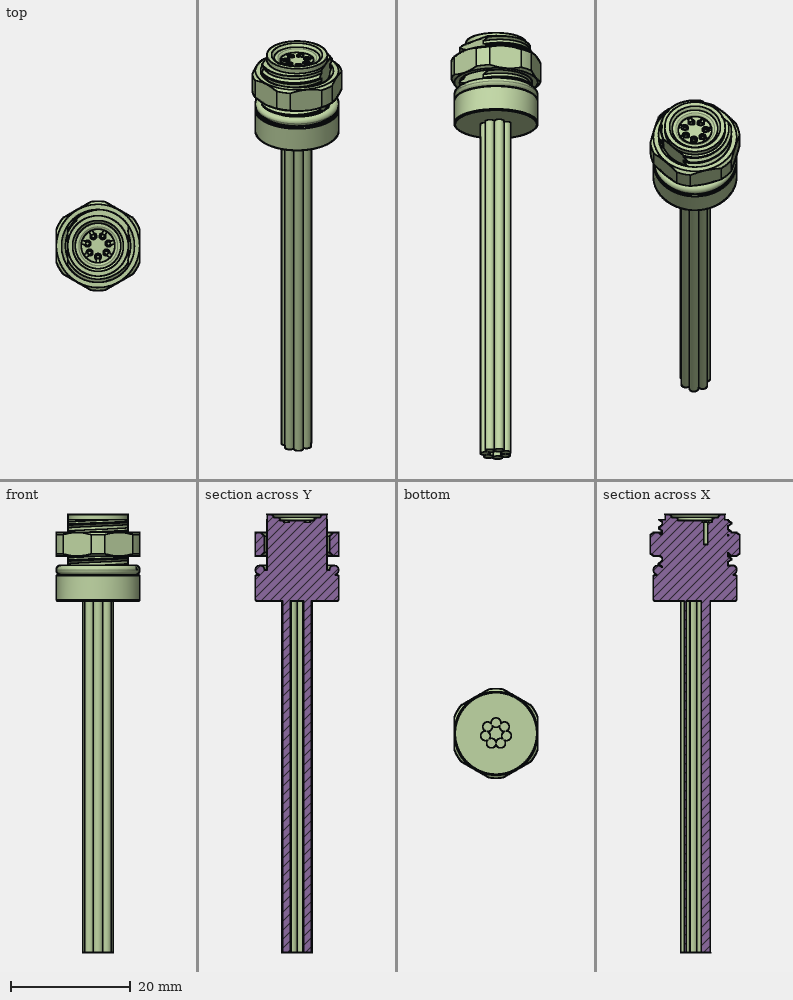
import cadquery as cq

FULL_TURN = 360

WIRE_LENGTH = 58.7
BODY_HEIGHT = 4.4
SEAL_TOP = 6.0
NUT_BOTTOM = 7.5
NUT_HEIGHT = 4.0
THREAD_TOP = 13.6
TOTAL_HEIGHT = 14.5

BODY_RADIUS = 7.0
BODY_CHAMFER = 0.2
SEAL_WIRE_RADIUS = 0.8
NECK_RADIUS = 6.4

COLLAR_RADIUS = 5.05
FLAT_DISTANCE = COLLAR_RADIUS
THREAD_ROOT_RADIUS = 5.55
THREAD_CREST_RADIUS = 6.1
THREAD_PITCH = 1.5
THREAD_BASE_WIDTH = 1.1
THREAD_CREST_WIDTH = 0.2
THREAD_OVERLAP = 0.1
THREAD_START = 4.375

NUT_SIDES = 6
NUT_ACROSS_FLATS = 2 * BODY_RADIUS
NUT_CORNER_RADIUS = 7.5
NUT_FACE_RADIUS = 6.95
NUT_CHAMFER_HEIGHT = 0.4
NUT_BORE_RADIUS = 5.45
NUT_MOUTH_RADIUS = 6.1

SOCKET_RADIUS = 4.25
SOCKET_FLOOR_RADIUS = 3.8
SOCKET_DEPTH = 0.5
RECESS_RADIUS = 2.8
RECESS_DEPTH = 0.5
RECESS_LIP_RADIUS = 0.45

CONTACT_COUNT = 7
CONTACT_CIRCLE_RADIUS = 1.8
CONTACT_CAVITY_RADIUS = 0.55
CONTACT_CAVITY_DEPTH = 0.3
CONTACT_SLOT_WIDTH = 0.6
CONTACT_BORE_RADIUS = 0.3
CONTACT_BORE_DEPTH = 4.0
WIRE_RADIUS = 0.8
WIRE_EMBEDMENT = 1.0


def cylinder(radius, bottom, top):
    return cq.Workplane("XY").workplane(offset=bottom).circle(radius).extrude(top - bottom)


def around_contact_circle(shape):
    """Copies of a shape modelled at the first (-Y) contact, one for each contact."""
    step = FULL_TURN / CONTACT_COUNT
    return [shape.rotate((0, 0, 0), (0, 0, 1), index * step) for index in range(CONTACT_COUNT)]


def make_body():
    """Plain round base carrying a neck and the sealing ring."""
    base = cylinder(BODY_RADIUS, 0, BODY_HEIGHT).edges().chamfer(BODY_CHAMFER)
    seal_height = SEAL_TOP - SEAL_WIRE_RADIUS
    neck = cylinder(NECK_RADIUS, BODY_HEIGHT - BODY_CHAMFER, seal_height)
    seal_centre_radius = BODY_RADIUS - SEAL_WIRE_RADIUS
    seal = (
        cq.Workplane("XZ")
        .center(seal_centre_radius, seal_height)
        .circle(SEAL_WIRE_RADIUS)
        .revolve(FULL_TURN, (-seal_centre_radius, 0), (-seal_centre_radius, 1))
    )
    return base.union(neck).union(seal)


def make_thread_ridge():
    """Helical ridge sunk slightly into the root cylinder and overrunning both thread ends."""
    inner_radius = THREAD_ROOT_RADIUS - THREAD_OVERLAP
    half_base = THREAD_BASE_WIDTH / 2
    half_crest = THREAD_CREST_WIDTH / 2
    length = THREAD_TOP + THREAD_PITCH / 2 - THREAD_START
    helix = cq.Wire.makeHelix(THREAD_PITCH, length, inner_radius).moved(
        cq.Location(cq.Vector(0, 0, THREAD_START))
    )
    profile = (
        cq.Workplane("XZ")
        .moveTo(inner_radius, THREAD_START - half_base)
        .lineTo(THREAD_CREST_RADIUS, THREAD_START - half_crest)
        .lineTo(THREAD_CREST_RADIUS, THREAD_START + half_crest)
        .lineTo(inner_radius, THREAD_START + half_base)
        .close()
    )
    return profile.sweep(cq.Workplane(obj=helix), isFrenet=True)


def make_shank():
    """Threaded shank with flats on both sides, ending in a plain collar."""
    shank_bottom = SEAL_TOP - SEAL_WIRE_RADIUS
    root = cylinder(THREAD_ROOT_RADIUS, shank_bottom, THREAD_TOP)
    envelope = (
        cq.Workplane("XY")
        .workplane(offset=shank_bottom)
        .rect(2 * FLAT_DISTANCE, 2 * BODY_RADIUS)
        .extrude(THREAD_TOP - shank_bottom)
    )
    collar = cylinder(COLLAR_RADIUS, shank_bottom, TOTAL_HEIGHT)
    return root.union(make_thread_ridge()).intersect(envelope).union(collar)


def make_nut():
    """Hexagon nut with flats facing -X and +X, rounded corners and a countersunk bore."""
    nut_top = NUT_BOTTOM + NUT_HEIGHT
    hexagon = (
        cq.Workplane("XY")
        .workplane(offset=NUT_BOTTOM)
        .polygon(NUT_SIDES, NUT_ACROSS_FLATS, circumscribed=True)
        .extrude(NUT_HEIGHT)
    )
    mouth_depth = NUT_MOUTH_RADIUS - NUT_BORE_RADIUS
    turned_section = (
        cq.Workplane("XZ")
        .moveTo(NUT_MOUTH_RADIUS, NUT_BOTTOM)
        .lineTo(NUT_FACE_RADIUS, NUT_BOTTOM)
        .lineTo(NUT_CORNER_RADIUS, NUT_BOTTOM + NUT_CHAMFER_HEIGHT)
        .lineTo(NUT_CORNER_RADIUS, nut_top - NUT_CHAMFER_HEIGHT)
        .lineTo(NUT_FACE_RADIUS, nut_top)
        .lineTo(NUT_MOUTH_RADIUS, nut_top)
        .lineTo(NUT_BORE_RADIUS, nut_top - mouth_depth)
        .lineTo(NUT_BORE_RADIUS, NUT_BOTTOM + mouth_depth)
        .close()
        .revolve(FULL_TURN, (0, 0), (0, 1))
    )
    return hexagon.intersect(turned_section)


def make_socket():
    """Tapered mouth, a ledge, and a smaller recess with a rounded lip."""
    ledge = TOTAL_HEIGHT - SOCKET_DEPTH
    floor = ledge - RECESS_DEPTH
    return (
        cq.Workplane("XZ")
        .moveTo(0, TOTAL_HEIGHT)
        .lineTo(SOCKET_RADIUS, TOTAL_HEIGHT)
        .lineTo(SOCKET_FLOOR_RADIUS, ledge)
        .lineTo(RECESS_RADIUS + RECESS_LIP_RADIUS, ledge)
        .radiusArc((RECESS_RADIUS, ledge - RECESS_LIP_RADIUS), -RECESS_LIP_RADIUS)
        .lineTo(RECESS_RADIUS, floor)
        .lineTo(0, floor)
        .close()
        .revolve(FULL_TURN, (0, 0), (0, 1))
    )


def cut_contact_holes(part):
    """Stepped contact holes, each with a shallow slot leading out to the recess wall."""
    floor = TOTAL_HEIGHT - SOCKET_DEPTH - RECESS_DEPTH
    cavity = cylinder(CONTACT_CAVITY_RADIUS, floor - CONTACT_CAVITY_DEPTH, floor)
    bore = cylinder(CONTACT_BORE_RADIUS, floor - CONTACT_BORE_DEPTH, floor)
    slot_length = RECESS_RADIUS - CONTACT_CIRCLE_RADIUS
    slot = (
        cq.Workplane("XY")
        .workplane(offset=floor - CONTACT_CAVITY_DEPTH)
        .center(0, -slot_length / 2)
        .rect(CONTACT_SLOT_WIDTH, slot_length)
        .extrude(CONTACT_CAVITY_DEPTH)
    )
    hole = cavity.union(bore).union(slot).translate((0, -CONTACT_CIRCLE_RADIUS, 0))
    for copy in around_contact_circle(hole):
        part = part.cut(copy)
    return part


def add_wires(part):
    """Straight wires hanging from the body, one below each contact."""
    wire = cylinder(WIRE_RADIUS, -WIRE_LENGTH, WIRE_EMBEDMENT).translate((0, -CONTACT_CIRCLE_RADIUS, 0))
    for copy in around_contact_circle(wire):
        part = part.union(copy)
    return part


housing = make_body().union(make_shank()).union(make_nut()).cut(make_socket())
housing = cut_contact_holes(housing)
result = add_wires(housing)